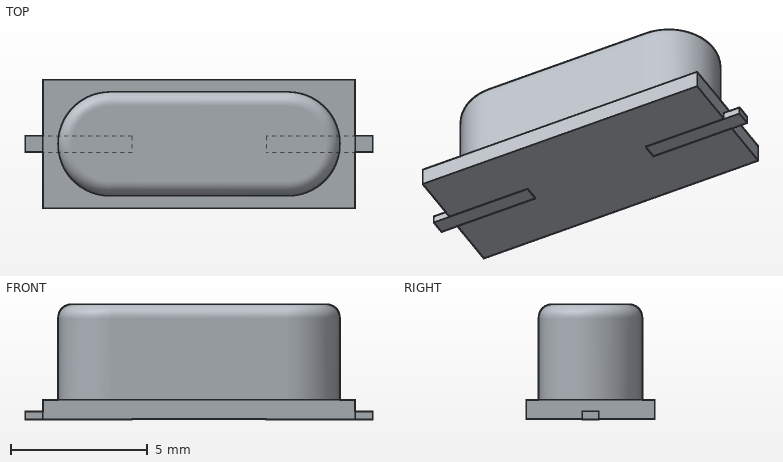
import cadquery as cq

overall_length = 12.7
overall_height = 4.22

base_length = 11.4
base_width = 4.7
base_thickness = 0.7

can_length = 10.3
can_width = 3.8
can_top_fillet = 0.5

lead_length = 3.9
lead_width = 0.6
lead_thickness = 0.3
lead_standoff = 0.02

base_top = lead_standoff + base_thickness
can_height = overall_height - base_top


def make_base():
    return (
        cq.Workplane("XY", origin=(0, 0, lead_standoff))
        .rect(base_length, base_width)
        .extrude(base_thickness)
    )


def make_can():
    return (
        cq.Workplane("XY", origin=(0, 0, base_top))
        .slot2D(can_length, can_width)
        .extrude(can_height)
        .faces(">Z")
        .edges()
        .fillet(can_top_fillet)
    )


def make_lead(side):
    """Terminal strip whose outer end is at the -X (side=-1) or +X (side=1) extreme."""
    lead_center = side * (overall_length - lead_length) / 2
    return (
        cq.Workplane("XY")
        .center(lead_center, 0)
        .rect(lead_length, lead_width)
        .extrude(lead_thickness)
    )


result = make_base().union(make_can())
for side in (-1, 1):
    result = result.union(make_lead(side))